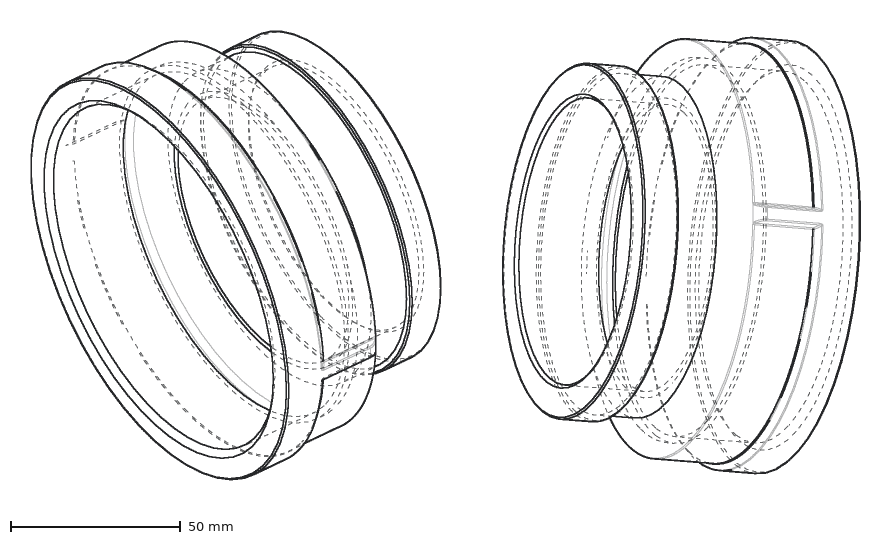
import cadquery as cq
import math


length = 65.0
ring_diameter = 128.1
ring_length = 12.5
body_diameter = 124.2
neck_diameter = 101.0
neck_start = 40.5
collar_diameter = 105.3
collar_length = 11.4
cone_angle = 60.0
edge_chamfer = 0.5
shoulder_radius = 4.2
edge_radius = 0.5

mouth_diameter = 114.0
socket_diameter = 110.0
socket_depth = 27.5
relief_diameter = 114.0
relief_radius = 2.5
throat_diameter = 88.6
throat_start = 38.3
bore_diameter = 84.9
bore_chamfer = 1.0

rib_base_width = 6.0
rib_top_width = 4.1
recess_overshoot = 1.3

ring_radius = ring_diameter / 2
body_radius = body_diameter / 2
neck_radius = neck_diameter / 2
collar_radius = collar_diameter / 2
mouth_radius = mouth_diameter / 2
socket_radius = socket_diameter / 2
relief_outer_radius = relief_diameter / 2
throat_radius = throat_diameter / 2
bore_radius = bore_diameter / 2
cone_slope = math.tan(math.radians(cone_angle))
collar_start = length - collar_length
rib_height = ring_radius - body_radius
body_start = ring_length + rib_height
recess_outer_radius = ring_radius + recess_overshoot


def cone_position(radius):
    """Y at which the outer cone reaches a radius."""
    return neck_start - (radius - neck_radius) / cone_slope


def revolve_profile(points):
    """Solid of revolution about Y from (radius, y) points."""
    return cq.Workplane("XY").polyline(points).close().revolve(360, (0, 0, 0), (0, 1, 0))


def edges_at(y):
    """Selector for edges centred at a position along Y."""
    margin = 0.06
    reach = ring_diameter
    return cq.selectors.BoxSelector((-reach, y - margin, -reach), (reach, y + margin, reach))


def make_outside():
    outside = revolve_profile([
        (0, 0),
        (ring_radius - edge_chamfer, 0),
        (ring_radius, edge_chamfer),
        (ring_radius, cone_position(ring_radius)),
        (neck_radius, neck_start),
        (neck_radius, collar_start),
        (collar_radius - edge_chamfer, collar_start),
        (collar_radius, collar_start + edge_chamfer),
        (collar_radius, length - edge_chamfer),
        (collar_radius - edge_chamfer, length),
        (0, length),
    ])
    return outside.edges(edges_at(cone_position(ring_radius))).fillet(shoulder_radius)


def make_rib_wedges():
    """Pair of full-length bars with sloped sides that stay standing between the recesses."""
    width_change = (rib_base_width - rib_top_width) / rib_height * recess_overshoot
    inner_half_width = (rib_base_width + width_change) / 2
    outer_half_width = (rib_top_width - width_change) / 2
    inner_radius = body_radius - recess_overshoot
    wedge = (
        cq.Workplane("XZ")
        .polyline([
            (inner_radius, inner_half_width),
            (recess_outer_radius, outer_half_width),
            (recess_outer_radius, -outer_half_width),
            (inner_radius, -inner_half_width),
        ])
        .close()
        .extrude(-length)
    )
    return wedge.union(wedge.mirror("YZ"))


def make_recesses():
    """Material removed around the body, above and below the ribs, with rounded root corners."""
    band = revolve_profile([
        (body_radius, body_start),
        (recess_outer_radius, ring_length - recess_overshoot),
        (recess_outer_radius, neck_start),
        (body_radius, neck_start),
    ])
    recesses = band.cut(make_rib_wedges())
    recesses = recesses.edges("%HYPERBOLA").fillet(edge_radius)
    return recesses.edges(edges_at(body_start)).fillet(edge_radius)


def make_body():
    """Outside shape with the recesses cut and their rims rounded."""
    body = make_outside().cut(make_recesses())
    return body.edges(edges_at(ring_length)).fillet(edge_radius)


def make_cavity():
    relief_end = throat_start - (relief_outer_radius - throat_radius) / cone_slope
    cavity = revolve_profile([
        (0, 0),
        (mouth_radius, 0),
        (socket_radius, mouth_radius - socket_radius),
        (socket_radius, socket_depth),
        (relief_outer_radius, socket_depth),
        (relief_outer_radius, relief_end),
        (throat_radius, throat_start),
        (bore_radius, throat_start),
        (bore_radius, length - bore_chamfer),
        (bore_radius + bore_chamfer, length),
        (0, length),
    ])
    return cavity.edges(edges_at(relief_end)).fillet(relief_radius)


result = make_body().cut(make_cavity())